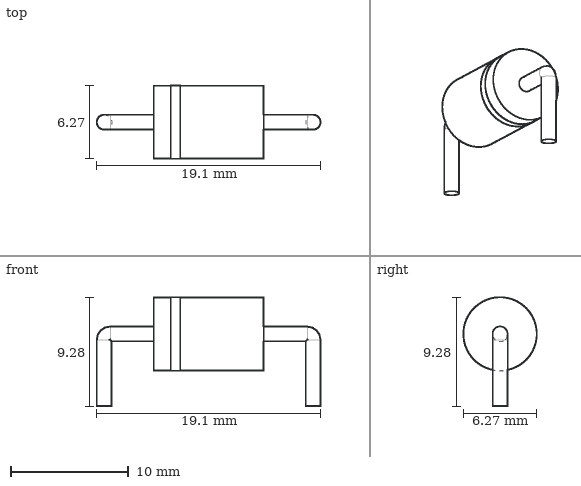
import cadquery as cq

total_length = 19.05
body_diameter = 6.23
body_length = 9.37
band_diameter = 6.27
band_width = 0.8
band_offset = 1.47
lead_diameter = 1.28
total_height = 9.28
bend_outer_radius = 1.15

lead_radius = lead_diameter / 2
lead_x = total_length / 2 - lead_radius
foot_z = band_diameter / 2 - total_height
body_start_x = -body_length / 2
bend_x = total_length / 2 - bend_outer_radius
bend_z = lead_radius - bend_outer_radius


def cylinder_along_x(diameter, start_x, length):
    return cq.Workplane("YZ", origin=(start_x, 0, 0)).circle(diameter / 2).extrude(length)


def make_bend():
    """Quarter turn joining the +X lead to its leg.

    The bend radius is smaller than the wire radius, so only the part of the
    wire section outside the turning axis is revolved.
    """
    centre_to_wire = bend_outer_radius - lead_radius
    half_chord = (lead_radius**2 - centre_to_wire**2) ** 0.5
    section = (
        cq.Workplane("YZ", origin=(bend_x, 0, bend_z))
        .moveTo(-half_chord, 0)
        .threePointArc((0, bend_outer_radius), (half_chord, 0))
        .close()
    )
    return section.revolve(90, (0, 0), (1, 0))


def make_lead():
    """Lead at the +X end: straight run, bend and vertical leg."""
    run = cylinder_along_x(lead_diameter, 0, bend_x)
    leg = (
        cq.Workplane("XY", origin=(lead_x, 0, foot_z))
        .circle(lead_radius)
        .extrude(bend_z - foot_z)
    )
    return run.union(leg).union(make_bend())


body = cylinder_along_x(body_diameter, body_start_x, body_length)
band = cylinder_along_x(band_diameter, body_start_x + band_offset, band_width)
lead = make_lead()

result = body.union(band).union(lead).union(lead.mirror("YZ"))